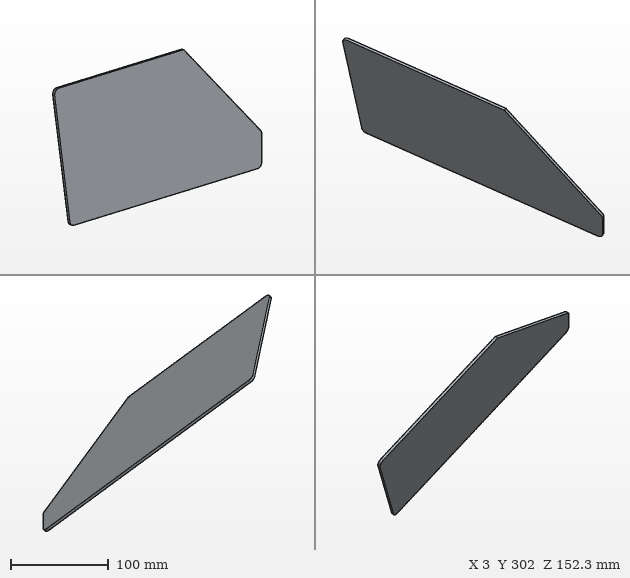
import cadquery as cq
import math

thickness = 3.0
length = 302.0
height = 152.3

corner_radius = 6.0
rear_edge_height = 38.5
bevel_angle = math.radians(45)
front_lean = math.radians(9)

rear_y = length / 2
front_y = -length / 2
top_z = height / 2
bottom_z = -height / 2

bevel_height = height - rear_edge_height
bevel_start_y = rear_y - bevel_height / math.tan(bevel_angle)

corner_centre_y = front_y + corner_radius
front_top_y = corner_centre_y - corner_radius * (1 + math.sin(front_lean)) / math.cos(front_lean)
front_bottom_y = front_top_y + height * math.tan(front_lean)

outline = [
    (rear_y, bottom_z),
    (rear_y, bottom_z + rear_edge_height),
    (bevel_start_y, top_z),
    (front_top_y, top_z),
    (front_bottom_y, bottom_z),
]
plate = cq.Workplane("YZ").polyline(outline).close().extrude(thickness / 2, both=True)

rounded_corners = "(|X) and (<Z or <Y or >Y)"
result = plate.edges(rounded_corners).fillet(corner_radius)